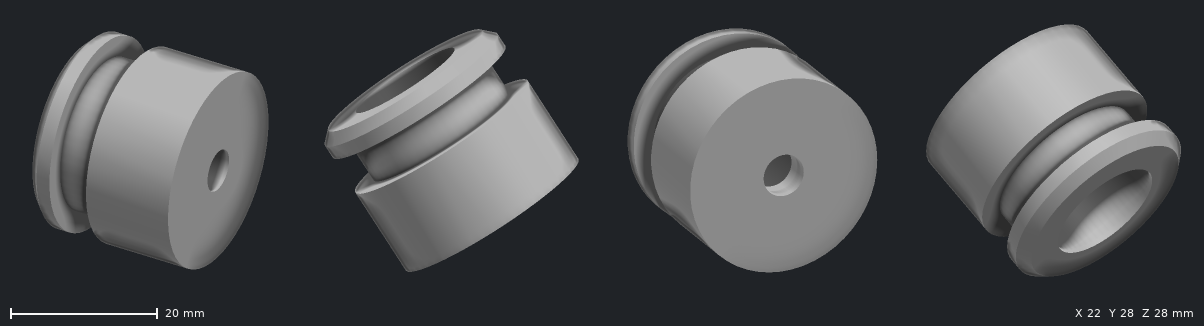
import cadquery as cq

length = 22.0
outer_diameter = 28.0

rim_chamfer = 1.5
rim_width = 3.5

groove_diameter = 22.0
groove_width = 5.7

bore_diameter = 16.0
floor_thickness = 4.0
through_diameter = 6.0

bore_depth = length - floor_thickness
front_x = 0.0


def cylinder(diameter, start_x, width):
    """Solid cylinder on the X axis, running from start_x towards +X."""
    plane = cq.Workplane("YZ", origin=(start_x, 0, 0))
    return plane.circle(diameter / 2).extrude(width)


def make_body():
    """Full-diameter cylinder with its front edge chamfered."""
    return cylinder(outer_diameter, front_x, length).faces("<X").edges().chamfer(rim_chamfer)


def make_groove():
    """Ring of material removed between the rim and the main barrel."""
    groove_x = front_x + rim_width
    ring = cylinder(outer_diameter, groove_x, groove_width)
    return ring.cut(cylinder(groove_diameter, groove_x, groove_width))


def make_stepped_hole():
    """Blind bore from the front end joined to the through hole."""
    bore = cylinder(bore_diameter, front_x, bore_depth)
    return bore.union(cylinder(through_diameter, front_x, length))


result = make_body().cut(make_groove()).cut(make_stepped_hole())